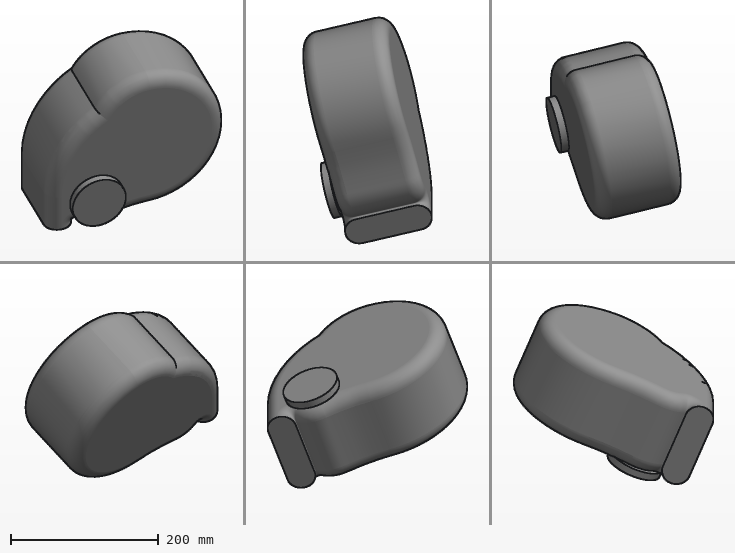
import cadquery as cq
import math

length = 255.5
body_width = 120.4
edge_radius = 19.2
round_radius = 108.9
shoulder_radius = 87.1

front_y = round_radius - length
front_wall_top_z = -59.3
lip_z = -114.7
lip_depth = 38.8

lobe_y = -77.2
lobe_z = -75.1
lobe_radius = 45.0
notch_radius = 0.8
spigot_diameter = 76.7
spigot_length = 10.7


def on_circle(center, radius, angle):
    """Point of a circle in the YZ plane, with the angle in radians from +Y."""
    return (center[0] + radius * math.cos(angle), center[1] + radius * math.sin(angle))


def angle_to(start, end):
    return math.atan2(end[1] - start[1], end[0] - start[0])


def housing_outline():
    top = (0, round_radius)
    bottom = (0, -round_radius)

    front_center = (0, front_wall_top_z)
    front_radius = -front_y
    shoulder_center = (0, round_radius - shoulder_radius)

    center_gap = shoulder_center[1] - front_center[1]
    valley_rise = (front_radius**2 - shoulder_radius**2 + center_gap**2) / (2 * center_gap)
    valley = (-math.sqrt(front_radius**2 - valley_rise**2), front_center[1] + valley_rise)
    shoulder_mid_angle = (math.pi / 2 + angle_to(shoulder_center, valley)) / 2
    front_mid_angle = (math.pi + angle_to(front_center, valley)) / 2

    lobe_center = (lobe_y, lobe_z)
    lobe_rise = lobe_z + round_radius
    belly_radius = (lobe_y**2 + lobe_rise**2 - lobe_radius**2) / (2 * (lobe_radius - lobe_rise))
    belly_center = (0, -round_radius - belly_radius)
    belly_end_angle = angle_to(belly_center, lobe_center)
    belly_end = on_circle(belly_center, belly_radius, belly_end_angle)
    belly_mid_angle = (math.pi / 2 + belly_end_angle) / 2

    lip_back_y = front_y + lip_depth
    notch_y = lip_back_y + notch_radius
    notch_drop = math.sqrt((lobe_radius + notch_radius)**2 - (notch_y - lobe_y)**2)
    notch_center = (notch_y, lobe_z - notch_drop)
    notch_start_angle = angle_to(notch_center, lobe_center)
    notch_start = on_circle(notch_center, notch_radius, notch_start_angle)
    notch_end = (lip_back_y, notch_center[1])
    notch_mid_angle = (notch_start_angle + math.pi) / 2

    return (
        cq.Workplane("YZ")
        .moveTo(*top)
        .threePointArc((round_radius, 0), bottom)
        .threePointArc(on_circle(belly_center, belly_radius, belly_mid_angle), belly_end)
        .threePointArc((lobe_y, lobe_z - lobe_radius), notch_start)
        .threePointArc(on_circle(notch_center, notch_radius, notch_mid_angle), notch_end)
        .lineTo(lip_back_y, lip_z)
        .lineTo(front_y, lip_z)
        .lineTo(front_y, front_wall_top_z)
        .threePointArc(on_circle(front_center, front_radius, front_mid_angle), valley)
        .threePointArc(on_circle(shoulder_center, shoulder_radius, shoulder_mid_angle), top)
        .close()
    )


def rounded_housing():
    body = housing_outline().extrude(body_width)
    rims = body.faces("<X or >X").edges("not |Y")
    rims = rims.sort(lambda edge: (edge.Center().x, edge.Center().z))
    return rims.fillet(edge_radius)


def spigot():
    return (
        cq.Workplane("YZ", origin=(body_width, 0, 0))
        .center(lobe_y, lobe_z)
        .circle(spigot_diameter / 2)
        .extrude(spigot_length)
    )


result = rounded_housing().union(spigot())